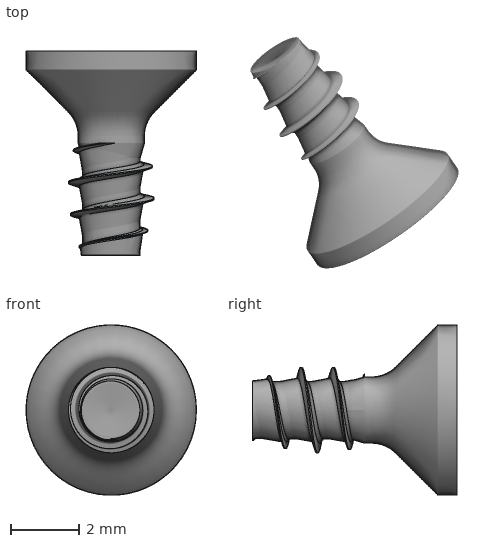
import cadquery as cq
import math

length = 6.0
head_radius = 2.499
rim_height = 0.56
rim_edge_radius = 0.03

neck_radius = 0.97
neck_fillet = 1.0
neck_end = 2.71
core_start = 3.15
core_radius = 0.845
tip_radius = 0.84
dimple_radius = 0.78
dimple_depth = 0.09

pitch = 0.945
crest_depth_at_x = 3.39
crest_radius = 1.255
run_in_radius = 1.07
run_in_start = 2.68
full_start = 3.625
full_end = 4.58
run_out_end = 5.97
crest_half_width = 0.02
flank_knee_radius = 0.97
flank_knee_offset = 0.065
head_side_foot = 0.18
tip_side_foot = 0.115
foot_radius = 0.935
end_foot_radius = 0.895
taper_end = 0.66
buried_edge_radius = 0.835
thread_root = 0.75
thread_start = crest_depth_at_x - pitch
thread_end = 6.36
points_per_turn = 24


def make_blank():
    """Head, neck and core as one turned body."""
    half_angle = math.radians(45)
    cone_end_radius = neck_radius + neck_fillet * (1 - math.cos(half_angle))
    cone_end = rim_height + head_radius - cone_end_radius
    fillet_end = cone_end + neck_fillet * math.sin(half_angle)
    arc_mid = (
        neck_radius + neck_fillet * (1 - math.cos(half_angle / 2)),
        -(fillet_end - neck_fillet * math.sin(half_angle / 2)),
    )
    head = (
        cq.Workplane("XY")
        .lineTo(head_radius, 0)
        .lineTo(head_radius, -rim_height)
        .lineTo(cone_end_radius, -cone_end)
        .lineTo(0, -cone_end)
        .close()
        .revolve(360, (0, 0), (0, 1))
        .edges(cq.selectors.RadiusNthSelector(-1))
        .fillet(rim_edge_radius)
    )
    shank = (
        cq.Workplane("XY")
        .moveTo(0, -cone_end)
        .lineTo(cone_end_radius, -cone_end)
        .threePointArc(arc_mid, (neck_radius, -fillet_end))
        .lineTo(neck_radius, -neck_end)
        .lineTo(core_radius, -core_start)
        .lineTo(tip_radius, -length)
        .lineTo(0, -length)
        .close()
        .revolve(360, (0, 0), (0, 1))
    )
    return head.union(shank)


def crest_radius_at(depth):
    """Crest radius, growing through the run-in and shrinking through the run-out."""
    run_in_slope = (crest_radius - run_in_radius) / (full_start - run_in_start)
    run_out_slope = (crest_radius - end_foot_radius) / (run_out_end - full_end)
    growing = run_in_radius + run_in_slope * (depth - run_in_start)
    shrinking = crest_radius - run_out_slope * (depth - full_end)
    return max(end_foot_radius, min(growing, crest_radius, shrinking))


def foot_radius_at(depth):
    """Tip-side foot radius, sinking towards the core over the last turn."""
    remaining_turn = max(0, min(1, (run_out_end - depth) / pitch))
    return end_foot_radius + (foot_radius - end_foot_radius) * remaining_turn


def thread_profile(depth):
    """Closed thread section as (axial offset from crest, radius) corners."""
    crest = crest_radius_at(depth)
    height_ratio = (crest - core_radius) / (crest_radius - core_radius)
    head_foot = -head_side_foot * height_ratio
    half_crest = crest_half_width * height_ratio
    knee_radius = core_radius + (flank_knee_radius - core_radius) * height_ratio
    return [
        (head_foot, thread_root),
        (head_foot, buried_edge_radius),
        (-flank_knee_offset * height_ratio, knee_radius),
        (-half_crest, crest),
        (half_crest, crest),
        (tip_side_foot * height_ratio, foot_radius_at(depth)),
        (taper_end, buried_edge_radius),
        (taper_end, thread_root),
    ]


def section_points(depth):
    """Section corners in space where the crest has reached this depth."""
    angle = 2 * math.pi * (depth - crest_depth_at_x) / pitch
    return [
        cq.Vector(radius * math.cos(angle), -(depth + offset), radius * math.sin(angle))
        for offset, radius in thread_profile(depth)
    ]


def make_thread():
    """Helical ridge skinned between its corner curves, trimmed at the neck and the tip."""
    steps = round(points_per_turn * (thread_end - thread_start) / pitch)
    step = (thread_end - thread_start) / steps
    sections = [section_points(thread_start + i * step) for i in range(steps + 1)]
    curves = [cq.Edge.makeSpline(list(corner)) for corner in zip(*sections)]
    faces = [
        cq.Face.makeRuledSurface(curve, curves[(i + 1) % len(curves)])
        for i, curve in enumerate(curves)
    ]
    for end in (sections[0], sections[-1]):
        faces.append(cq.Face.makeFromWires(cq.Wire.makePolygon(end, close=True)))
    ridge = cq.Workplane(cq.Solid.makeSolid(cq.Shell.makeShell(faces)).fix())
    envelope = (
        cq.Workplane("XZ", origin=(0, -neck_end, 0))
        .circle(head_radius)
        .extrude(length - neck_end)
    )
    return envelope.intersect(ridge)


def make_dimple():
    """Shallow conical hollow in the tip."""
    return (
        cq.Workplane("XY")
        .moveTo(0, -length)
        .lineTo(dimple_radius, -length)
        .lineTo(0, -length + dimple_depth)
        .close()
        .revolve(360, (0, 0), (0, 1))
    )


result = make_blank().union(make_thread()).cut(make_dimple())